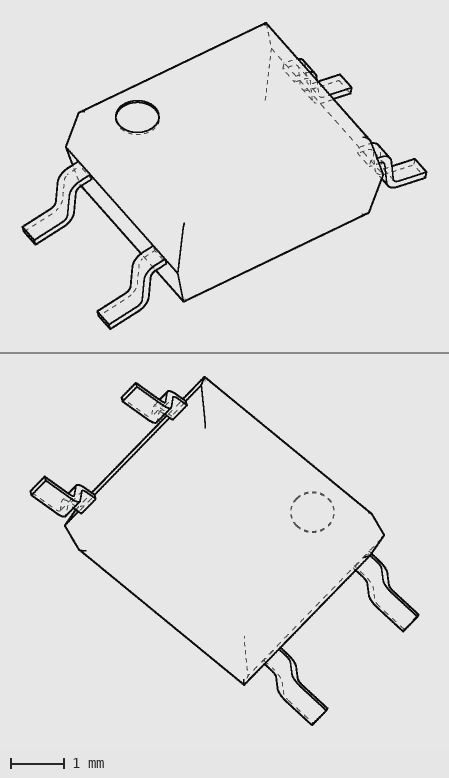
import math

import cadquery as cq

body_width = 3.8
body_length = 4.55
body_bottom_z = 0.1
parting_z = 1.2
body_top_z = 2.2
side_taper = 8
end_taper = 12
rim_radius = 0.1

mark_diameter = 0.8
mark_depth = 0.05
mark_x = -1.05
mark_y = -1.245

lead_pitch = 2.54
lead_width = 0.4
lead_thickness = 0.15
lead_slope = 11
shank_lean = 4.5
inner_bend_radius = 0.14
outer_bend_radius = inner_bend_radius + lead_thickness
lead_tip_y = 3.515
knee_y = 2.72
root_y = body_length / 2 - 0.28


def body_half(face_z):
    """Tapered half from the parting plane to a flat face, with a rounded rim."""
    height = abs(face_z - parting_z)
    face_width = body_width - 2 * height * math.tan(math.radians(side_taper))
    face_length = body_length - 2 * height * math.tan(math.radians(end_taper))
    half = (
        cq.Workplane("XY", origin=(0, 0, parting_z))
        .rect(body_width, body_length)
        .workplane(offset=face_z - parting_z)
        .rect(face_width, face_length)
        .loft(ruled=True)
    )
    rim_face = ">Z" if face_z > parting_z else "<Z"
    return half.faces(rim_face).edges().fillet(rim_radius)


def lead_outline():
    """Upper and lower (Y, Z) corners of the lead, each listed from root to tip."""
    slope = math.radians(lead_slope)
    lean = math.radians(shank_lean)
    fall = math.tan(slope)

    edge_y = body_length / 2
    knee_z = parting_z - (knee_y - edge_y) * fall
    root_z = parting_z + (edge_y - root_y) * fall

    tip_z = lead_thickness * math.cos(slope)
    shank_drop = knee_z - tip_z - (lead_tip_y - knee_y) * fall
    shank_drop /= 1 - math.tan(lean) * fall
    ankle_y = knee_y + shank_drop * math.tan(lean)
    ankle_z = knee_z - shank_drop
    upper = [(root_y, root_z), (knee_y, knee_z), (ankle_y, ankle_z), (lead_tip_y, tip_z)]

    end_y = -lead_thickness * math.sin(slope)
    end_z = -lead_thickness * math.cos(slope)
    bisector = (slope + math.pi / 2 - lean) / 2
    mitre = lead_thickness / math.cos(math.pi / 4 - (slope + lean) / 2)
    bend_y = -mitre * math.sin(bisector)
    bend_z = -mitre * math.cos(bisector)
    shifts = [(end_y, end_z), (bend_y, bend_z), (bend_y, bend_z), (end_y, end_z)]
    lower = [(y + dy, z + dz) for (y, z), (dy, dz) in zip(upper, shifts)]
    return upper, lower


def lead():
    """One lead on the +Y end, centred on X = 0."""
    upper, lower = lead_outline()
    blank = (
        cq.Workplane("YZ")
        .polyline(upper + lower[::-1])
        .close()
        .extrude(lead_width / 2, both=True)
    )
    bends = [
        (upper[1], outer_bend_radius),
        (lower[1], inner_bend_radius),
        (upper[2], inner_bend_radius),
        (lower[2], outer_bend_radius),
    ]
    for (y, z), radius in bends:
        blank = blank.edges("|X").edges(cq.NearestToPointSelector((0, y, z))).fillet(radius)
    return blank


body = body_half(body_top_z).union(body_half(body_bottom_z))
mark = (
    cq.Workplane("XY", origin=(mark_x, mark_y, body_top_z))
    .circle(mark_diameter / 2)
    .extrude(-mark_depth)
)
result = body.cut(mark)

rear_lead = lead()
front_lead = rear_lead.mirror("XZ")
for lead_x in (-lead_pitch / 2, lead_pitch / 2):
    for end_lead in (rear_lead, front_lead):
        result = result.union(end_lead.translate((lead_x, 0, 0)))